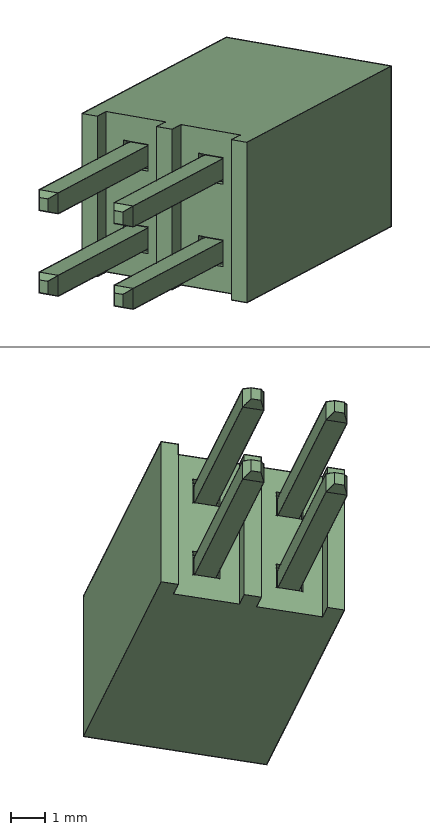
import cadquery as cq

total_length = 13.44
width = 5.59
height = 4.95
body_length = 8.52

rib_width = 0.52
rib_depth = 0.52

pitch = 2.54
pin_size = 0.65
tip_length = 0.31
tip_width = 0.3
tip_height = 0.39

pocket_size = 0.82
pocket_depth = 0.2

plate_margin = 0.52
plate_thickness = 0.5

rear_y = total_length / 2
pin_end_y = -total_length / 2
rib_end_y = rear_y - body_length
pin_face_y = rib_end_y + rib_depth
plate_front_y = rear_y - plate_thickness

plate_width = width - 2 * plate_margin
plate_height = height - 2 * plate_margin

pin_centres = [
    (side * pitch / 2, level * pitch / 2)
    for side in (-1, 1)
    for level in (-1, 1)
]


def bar(size_x, size_z, start_y, end_y, centre=(0, 0)):
    """Rectangular bar along Y, centred at the given X and Z."""
    return (
        cq.Workplane("XY")
        .box(size_x, end_y - start_y, size_z)
        .translate((centre[0], (start_y + end_y) / 2, centre[1]))
    )


def make_pin(centre):
    """Square pin running from the carrier plate to its tapered tip."""
    tip_start_y = pin_end_y + tip_length
    shank = bar(pin_size, pin_size, tip_start_y, plate_front_y, centre)
    tip = (
        cq.Workplane("XZ", origin=(centre[0], tip_start_y, centre[1]))
        .rect(pin_size, pin_size)
        .workplane(offset=tip_length)
        .rect(tip_width, tip_height)
        .loft(ruled=True)
    )
    return shank.union(tip)


def make_pin_set():
    """Carrier plate with all four pins, as one solid."""
    pin_set = bar(plate_width, plate_height, plate_front_y, rear_y)
    for centre in pin_centres:
        pin_set = pin_set.union(make_pin(centre))
    return pin_set


def make_housing():
    """Block with three standoff ribs, pin passages and a rear plate recess."""
    block = bar(width, height, pin_face_y, rear_y)
    rib_offset = (width - rib_width) / 2
    for rib_x in (-rib_offset, 0, rib_offset):
        block = block.union(bar(rib_width, height, rib_end_y, pin_face_y, (rib_x, 0)))

    for centre in pin_centres:
        pocket_end_y = pin_face_y + pocket_depth
        block = block.cut(bar(pocket_size, pocket_size, pin_face_y, pocket_end_y, centre))
        block = block.cut(bar(pin_size, pin_size, pin_face_y, plate_front_y, centre))

    return block.cut(bar(plate_width, plate_height, plate_front_y, rear_y))


housing = make_housing()
pin_set = make_pin_set()

result = cq.Compound.makeCompound([housing.solids().val(), pin_set.solids().val()])